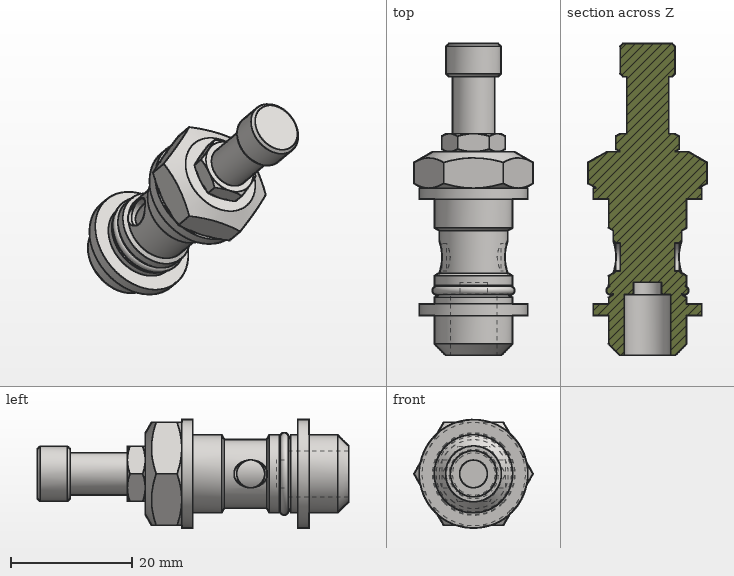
import cadquery as cq
import math

OVERLAP = 0.5

body_radius = 6.45
nose_radius = 4.6
nose_chamfer = 1.88
neck_radius = 5.68
neck_start = 13.55
neck_end = 20.52
shoulder_length = 0.45

washer_radius = 8.95
front_washer_start = 6.55
front_washer_end = 8.45
rear_washer_start = 25.72
rear_washer_end = 27.53

groove_start = 9.55
groove_end = 11.5
ring_y = 10.66
ring_section_radius = 0.7
ring_outer_radius = 6.8

head_end = 33.55
head_across_flats = 17.0
head_rear_land_radius = 6.7
lock_nut_end = 36.48
lock_nut_across_flats = 9.1
lock_nut_land_radius = 4.55
hex_chamfer_angle = 30.0
hex_sides = 6

total_length = 51.36
shaft_radius = 3.5
knob_radius = 4.55
knob_start = 45.85
knob_chamfer = 0.5

bore_radius = 3.8
bore_depth = 10.0
pilot_radius = 2.28
pilot_depth = 12.0

port_y = 16.18
port_radius = 2.3
port_floor_radius = 4.5
port_sink_radius = 2.75
port_sink_depth = 0.45


def revolve_profile(points):
    """Turn a closed (radius, y) outline around the Y axis."""
    return cq.Workplane("XY").polyline(points).close().revolve(360, (0, 0, 0), (0, 1, 0))


def cylinder(radius, start, end):
    """Cylinder on the Y axis from y = start to y = end."""
    return revolve_profile([(0, start), (radius, start), (radius, end), (0, end)])


def make_stem():
    """Turned stem from the nose up into the bolt head."""
    return revolve_profile([
        (0, 0),
        (nose_radius, 0),
        (body_radius, nose_chamfer),
        (body_radius, groove_start),
        (neck_radius, groove_start + shoulder_length),
        (neck_radius, groove_end - shoulder_length),
        (body_radius, groove_end),
        (body_radius, neck_start - shoulder_length),
        (neck_radius, neck_start),
        (neck_radius, neck_end),
        (body_radius, neck_end + shoulder_length),
        (body_radius, rear_washer_end + OVERLAP),
        (0, rear_washer_end + OVERLAP),
    ])


def make_o_ring():
    """Seal ring of round section seated in the groove."""
    center_radius = ring_outer_radius - ring_section_radius
    section = cq.Workplane("XY").center(-center_radius, ring_y).circle(ring_section_radius)
    return section.revolve(360, (center_radius, 0, 0), (center_radius, 1, 0))


def make_hex(across_flats, start, end, front_land_radius, rear_land_radius):
    """Hexagon with corners on +X and -X and conical chamfers at both ends."""
    corner_radius = across_flats / 2 / math.cos(math.pi / hex_sides)
    slope = math.tan(math.radians(hex_chamfer_angle))
    front_drop = (corner_radius - front_land_radius) * slope
    rear_drop = (corner_radius - rear_land_radius) * slope
    prism = (
        cq.Workplane("XZ", origin=(0, start, 0))
        .polygon(hex_sides, 2 * corner_radius)
        .extrude(start - end)
    )
    envelope = revolve_profile([
        (0, start),
        (front_land_radius, start),
        (corner_radius, start + front_drop),
        (corner_radius, end - rear_drop),
        (rear_land_radius, end),
        (0, end),
    ])
    return prism.intersect(envelope)


def make_adjuster():
    """Shaft rising from the bolt head with its chamfered knob."""
    chamfered_radius = knob_radius - knob_chamfer
    return revolve_profile([
        (0, head_end - OVERLAP),
        (shaft_radius, head_end - OVERLAP),
        (shaft_radius, knob_start),
        (chamfered_radius, knob_start),
        (knob_radius, knob_start + knob_chamfer),
        (knob_radius, total_length - knob_chamfer),
        (chamfered_radius, total_length),
        (0, total_length),
    ])


def make_port_cutter():
    """Countersunk ports through +X and -X, stopping on a round core about the Y axis."""
    sink_start = neck_radius - port_sink_depth
    half_outline = [
        (0, 0),
        (0, port_radius),
        (sink_start, port_radius),
        (neck_radius, port_sink_radius),
        (neck_radius, 0),
    ]
    cutter = cq.Workplane("XY")
    for side in (1, -1):
        outline = [(side * x, port_y + r) for x, r in half_outline]
        port = (
            cq.Workplane("XY")
            .polyline(outline)
            .close()
            .revolve(360, (0, port_y, 0), (1, port_y, 0))
        )
        cutter = cutter.add(port)
    core = cylinder(port_floor_radius, neck_start - OVERLAP, neck_end + OVERLAP)
    return cutter.combine().cut(core)


front_washer = cylinder(washer_radius, front_washer_start, front_washer_end)
rear_washer = cylinder(washer_radius, rear_washer_start, rear_washer_end)
head = make_hex(
    head_across_flats, rear_washer_end, head_end, head_across_flats / 2, head_rear_land_radius
)
lock_nut = make_hex(
    lock_nut_across_flats, head_end, lock_nut_end, lock_nut_land_radius, lock_nut_land_radius
)

result = make_stem()
for body in (front_washer, rear_washer, make_o_ring(), head, lock_nut, make_adjuster()):
    result = result.union(body)

bore = cylinder(bore_radius, 0, bore_depth)
pilot = cylinder(pilot_radius, 0, pilot_depth)
result = result.cut(bore).cut(pilot).cut(make_port_cutter())